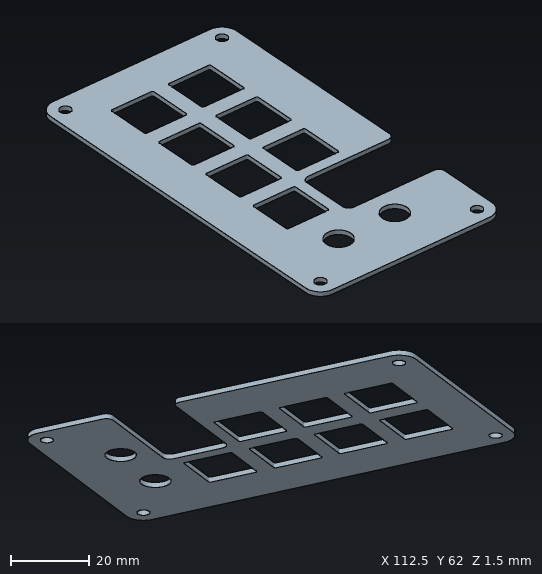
import cadquery as cq

length = 112.5
width = 62.0
thickness = 1.5
corner_radius = 5.0

mount_diameter = 3.4

notch_left = 68.3
notch_width = 18.3
notch_floor_y = 31.3
notch_radius = 2.0

key_size = 14.0
key_radius = 0.5
key_pitch = 19.0
first_key_x = 19.6
first_key_y = 20.7
keys_per_row = (4, 3)

round_diameter = 8.0
round_x = 95.4
round_front_y = 21.0
round_spacing = 18.7
round_count = 2


def make_plate():
    blank = cq.Workplane("XY").rect(length, width, centered=False).extrude(thickness)
    return blank.edges("|Z").fillet(corner_radius)


def cut_notch(plate):
    notch = (
        cq.Workplane("XY")
        .center(notch_left, notch_floor_y)
        .rect(notch_width, width - notch_floor_y, centered=False)
        .extrude(thickness)
    )
    notch_edges = cq.selectors.BoxSelector(
        (notch_left - notch_radius, notch_floor_y - notch_radius, -thickness),
        (notch_left + notch_width + notch_radius, width + notch_radius, 2 * thickness),
    )
    return plate.cut(notch).edges("|Z").edges(notch_edges).fillet(notch_radius)


def key_cutter():
    centers = [
        (first_key_x + column * key_pitch, first_key_y + row * key_pitch)
        for row, count in enumerate(keys_per_row)
        for column in range(count)
    ]
    openings = cq.Workplane("XY").pushPoints(centers).rect(key_size, key_size).extrude(thickness)
    return openings.edges("|Z").fillet(key_radius)


def hole_cutter(centers, diameter):
    return cq.Workplane("XY").pushPoints(centers).circle(diameter / 2).extrude(thickness)


mount_centers = [
    (x, y)
    for x in (corner_radius, length - corner_radius)
    for y in (corner_radius, width - corner_radius)
]
round_centers = [(round_x, round_front_y + i * round_spacing) for i in range(round_count)]

result = (
    cut_notch(make_plate())
    .cut(key_cutter())
    .cut(hole_cutter(mount_centers, mount_diameter))
    .cut(hole_cutter(round_centers, round_diameter))
)